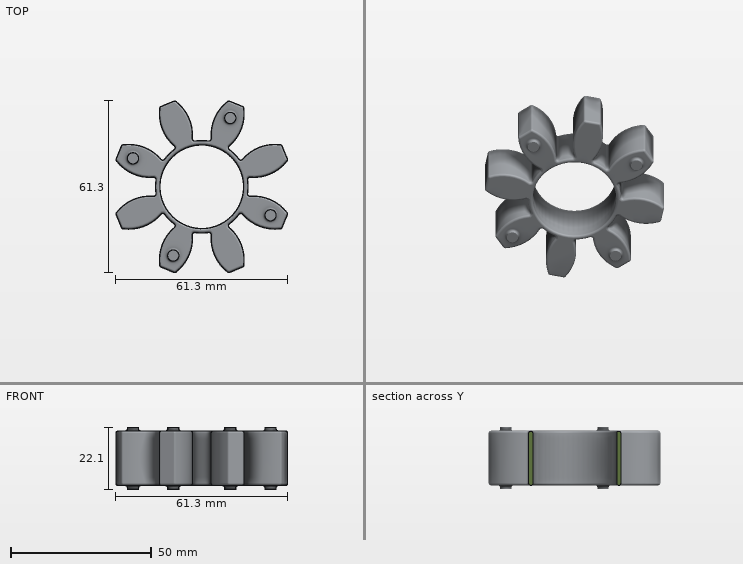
import cadquery as cq
import math

BODY_HEIGHT = 19.5
BORE_RADIUS = 14.9
RING_RADIUS = 16.55
RIM_FILLET = 0.8

TOOTH_COUNT = 8
TOOTH_PITCH = 360 / TOOTH_COUNT
FIRST_TOOTH_ANGLE = TOOTH_PITCH / 2
TIP_DISTANCE = 32.08
TOOTH_HALF_WIDTH = 5.17
WIDEST_DISTANCE = 24.1
FLANK_RADIUS = 15.2
TIP_FILLET = 0.75
ROOT_FILLET = 0.8

PIN_TOTAL_HEIGHT = 22.1
PIN_HEIGHT = (PIN_TOTAL_HEIGHT - BODY_HEIGHT) / 2
PIN_RADIUS = 2.0
PIN_FLARE = 0.8
PIN_DISTANCE = 26.58
PIN_COUNT = TOOTH_COUNT // 2
PIN_PITCH = 360 / PIN_COUNT
FIRST_PIN_ANGLE = FIRST_TOOTH_ANGLE + TOOTH_PITCH


def flank_half_width(distance):
    """Half width of a tooth at a given distance from the part axis."""
    drop = FLANK_RADIUS - math.sqrt(FLANK_RADIUS**2 - (distance - WIDEST_DISTANCE) ** 2)
    return TOOTH_HALF_WIDTH - drop


def tooth_blank(angle):
    """Sharp-edged tooth rooted inside the ring wall and pointing along the given angle."""
    root_distance = (BORE_RADIUS + RING_RADIUS) / 2
    root_half = flank_half_width(root_distance)
    tip_half = flank_half_width(TIP_DISTANCE)
    return (
        cq.Workplane("XY")
        .moveTo(root_distance, -root_half)
        .threePointArc((WIDEST_DISTANCE, -TOOTH_HALF_WIDTH), (TIP_DISTANCE, -tip_half))
        .lineTo(TIP_DISTANCE, tip_half)
        .threePointArc((WIDEST_DISTANCE, TOOTH_HALF_WIDTH), (root_distance, root_half))
        .close()
        .extrude(BODY_HEIGHT / 2, both=True)
        .rotate((0, 0, 0), (0, 0, 1), angle)
    )


def upright_edges_between(body, inner_radius, outer_radius):
    """Vertical edges of the body whose distance from the axis lies between two radii."""

    def in_range(edge):
        center = edge.Center()
        return inner_radius < math.hypot(center.x, center.y) < outer_radius

    return body.edges("|Z").filter(in_range)


def make_body():
    """Toothed ring with rounded tips, roots and rims."""
    body = cq.Workplane("XY").circle(RING_RADIUS).extrude(BODY_HEIGHT / 2, both=True)
    for index in range(TOOTH_COUNT):
        body = body.union(tooth_blank(FIRST_TOOTH_ANGLE + index * TOOTH_PITCH))
    body = upright_edges_between(body, WIDEST_DISTANCE, math.inf).fillet(TIP_FILLET)
    body = upright_edges_between(body, BORE_RADIUS, WIDEST_DISTANCE).fillet(ROOT_FILLET)
    body = body.cut(cq.Workplane("XY").circle(BORE_RADIUS).extrude(BODY_HEIGHT, both=True))
    return body.faces("<Z or >Z").edges().fillet(RIM_FILLET)


def make_pin():
    """Pin standing on the top face, with a concave flare at its foot; the core runs into the tooth."""
    base = BODY_HEIGHT / 2
    top = base + PIN_HEIGHT
    buried = base - PIN_HEIGHT
    flare_offset = PIN_FLARE * (1 - math.sqrt(0.5))
    return (
        cq.Workplane("XZ")
        .moveTo(0, buried)
        .lineTo(PIN_RADIUS + PIN_FLARE, buried)
        .lineTo(PIN_RADIUS + PIN_FLARE, base)
        .threePointArc((PIN_RADIUS + flare_offset, base + flare_offset), (PIN_RADIUS, base + PIN_FLARE))
        .lineTo(PIN_RADIUS, top)
        .lineTo(0, top)
        .close()
        .revolve(360, (0, 0, 0), (0, 1, 0))
        .translate((PIN_DISTANCE, 0, 0))
    )


def add_pins(body):
    """Pins on every second tooth, mirrored onto both end faces."""
    for index in range(PIN_COUNT):
        pin = make_pin().rotate((0, 0, 0), (0, 0, 1), FIRST_PIN_ANGLE + index * PIN_PITCH)
        body = body.union(pin).union(pin.mirror("XY"))
    return body


result = add_pins(make_body())